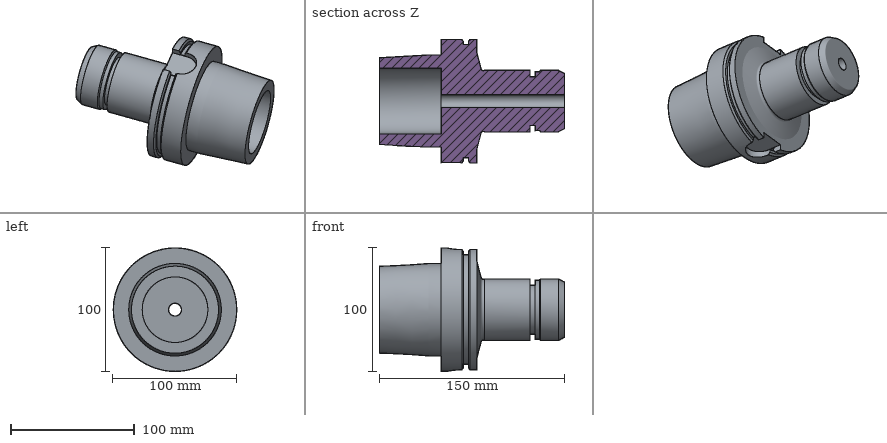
import cadquery as cq

length = 150.0

shank_end_radius = 35.2
shank_radius = 37.5
taper_length = 40.0
flange_start = 50.0

flange_diameter = 100.0
flange_radius = flange_diameter / 2
flange_end = 78.9
groove_start = 68.1
groove_end = 72.0
groove_radius = 45.9
groove_chamfer_width = 1.4
groove_chamfer_depth = 1.8

cone_base_radius = 39.6
cone_end = 82.5
cone_end_radius = 26.0
neck_start = 85.0
neck_radius = 25.0

undercut_start = 122.1
undercut_end = 126.2
undercut_radius = 20.0
collar_radius = 24.0
collar_end = 129.5
nose_taper_start = 144.9
nose_tip_radius = 22.4
nose_rounding = 0.6

shank_bore_radius = 26.5
shank_bore_depth = flange_start
coolant_hole_radius = 5.1

slot_start = 54.8
slot_width = 22.2
slot_floor_height = 44.0


def make_body():
    """Revolve the outer half profile, given as (X, radius)."""
    chamfer_radius = flange_radius - groove_chamfer_depth
    nose_start = collar_end + neck_radius - collar_radius
    profile = (
        cq.Workplane("XY")
        .moveTo(0, 0)
        .lineTo(0, shank_end_radius)
        .lineTo(taper_length, shank_radius)
        .lineTo(flange_start, shank_radius)
        .lineTo(flange_start, flange_radius)
        .lineTo(groove_start - groove_chamfer_width, flange_radius)
        .lineTo(groove_start, chamfer_radius)
        .lineTo(groove_start, groove_radius)
        .lineTo(groove_end, groove_radius)
        .lineTo(groove_end, chamfer_radius)
        .lineTo(groove_end + groove_chamfer_width, flange_radius)
        .lineTo(flange_end, flange_radius)
        .lineTo(flange_end, cone_base_radius)
        .lineTo(cone_end, cone_end_radius)
        .tangentArcPoint((neck_start, neck_radius), relative=False)
        .lineTo(undercut_start, neck_radius)
        .lineTo(undercut_start, undercut_radius)
        .lineTo(undercut_end, undercut_radius)
        .lineTo(undercut_end, collar_radius)
        .lineTo(collar_end, collar_radius)
        .lineTo(nose_start, neck_radius)
        .lineTo(nose_taper_start, neck_radius)
        .lineTo(length, nose_tip_radius)
        .lineTo(length, 0)
        .close()
    )
    body = profile.revolve(360, (0, 0, 0), (1, 0, 0))
    return body.faces(">X").edges().fillet(nose_rounding)


def make_bores():
    """Wide shank bore followed by a coolant hole through the whole length."""
    shank_bore = cq.Workplane("YZ").circle(shank_bore_radius).extrude(shank_bore_depth)
    coolant_hole = cq.Workplane("YZ").circle(coolant_hole_radius).extrude(length)
    return shank_bore.union(coolant_hole)


def make_drive_slot():
    """Round-ended slot cutter, flat-floored on +Z and open toward the nose."""
    half_width = slot_width / 2
    round_center = slot_start + half_width
    return (
        cq.Workplane("XY", origin=(0, 0, slot_floor_height))
        .moveTo(flange_end, -half_width)
        .lineTo(round_center, -half_width)
        .threePointArc((slot_start, 0), (round_center, half_width))
        .lineTo(flange_end, half_width)
        .close()
        .extrude(flange_radius - slot_floor_height)
    )


result = make_body().cut(make_bores())
drive_slot = make_drive_slot()
for angle in (0, 180):
    result = result.cut(drive_slot.rotate((0, 0, 0), (1, 0, 0), angle))